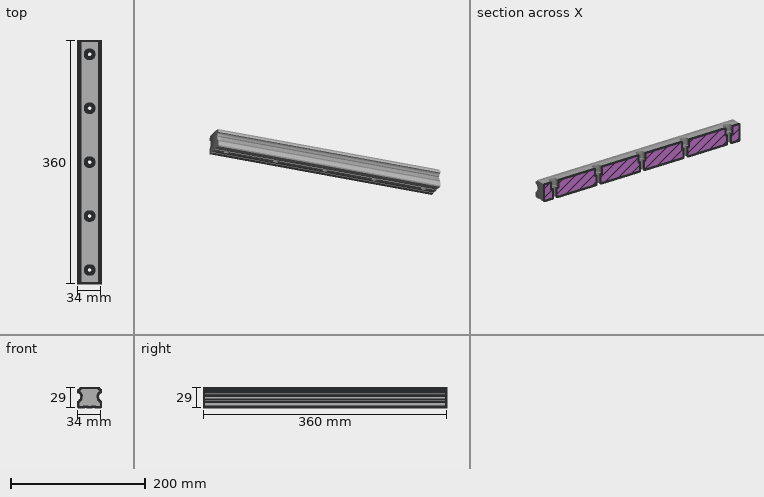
import cadquery as cq

LENGTH = 360.0
WIDTH = 34.0
HEIGHT = 29.0
HALF_WIDTH = WIDTH / 2

TOP_HALF_WIDTH = 13.8
TOP_GROOVE_START_Z = 28.3
TOP_GROOVE_END_X = 16.7
TOP_GROOVE_END_Z = 25.9
TOP_GROOVE_RADIUS = 3.2
LIP_TOP_Z = 25.1

LIP_BOTTOM_Z = 22.6
LOWER_GROOVE_END_X = 13.0
LOWER_GROOVE_END_Z = 19.3
LOWER_GROOVE_RADIUS = 4.5

RELIEF_ROOT_X = 11.5
RELIEF_ROOT_Z = 17.5
RELIEF_MOUTH_X = 12.4
RELIEF_MOUTH_Z = 18.3

WAIST_TOP_X = 12.1
WAIST_TOP_Z = 17.2
WAIST_BOTTOM_X = 13.0
WAIST_BOTTOM_Z = 11.9
FOOT_TOP_Z = 7.8
FOOT_CHAMFER_WIDTH = 1.3
FOOT_CHAMFER_HEIGHT = 1.5

BASE_GROOVE_CENTER_X = 5.85
BASE_GROOVE_WIDTH = 5.5
BASE_GROOVE_DEPTH = 0.8

HOLE_COUNT = 5
HOLE_PITCH = 80.0
HOLE_DIAMETER = 9.0
COUNTERBORE_DIAMETER = 14.0
COUNTERBORE_DEPTH = 12.0


def make_half_rail():
    """Extrude the +X half of the rail section, centred along Y."""
    section = (
        cq.Workplane("XZ", origin=(0, LENGTH / 2, 0))
        .moveTo(0, HEIGHT)
        .lineTo(TOP_HALF_WIDTH, HEIGHT)
        .lineTo(TOP_HALF_WIDTH, TOP_GROOVE_START_Z)
        .radiusArc((TOP_GROOVE_END_X, TOP_GROOVE_END_Z), -TOP_GROOVE_RADIUS)
        .lineTo(HALF_WIDTH, LIP_TOP_Z)
        .lineTo(HALF_WIDTH, LIP_BOTTOM_Z)
        .radiusArc((LOWER_GROOVE_END_X, LOWER_GROOVE_END_Z), -LOWER_GROOVE_RADIUS)
        .lineTo(RELIEF_MOUTH_X, RELIEF_MOUTH_Z)
        .lineTo(RELIEF_ROOT_X, RELIEF_ROOT_Z)
        .lineTo(WAIST_TOP_X, WAIST_TOP_Z)
        .lineTo(WAIST_BOTTOM_X, WAIST_BOTTOM_Z)
        .lineTo(HALF_WIDTH, FOOT_TOP_Z)
        .lineTo(HALF_WIDTH, FOOT_CHAMFER_HEIGHT)
        .lineTo(HALF_WIDTH - FOOT_CHAMFER_WIDTH, 0)
        .lineTo(0, 0)
        .close()
    )
    return section.extrude(LENGTH)


def make_rail():
    """Join the half rail with its mirror image."""
    half = make_half_rail()
    return half.union(half.mirror("YZ")).clean()


def cut_base_grooves(body):
    """Cut the two shallow grooves along the underside."""
    for side in (-1, 1):
        groove = cq.Workplane("XY").box(
            BASE_GROOVE_WIDTH, LENGTH, BASE_GROOVE_DEPTH, centered=(True, True, False)
        )
        body = body.cut(groove.translate((side * BASE_GROOVE_CENTER_X, 0, 0)))
    return body


def cut_mounting_holes(body):
    """Cut the row of counterbored through holes from the top face."""
    return (
        body.faces(">Z")
        .workplane(origin=(0, 0, HEIGHT))
        .rarray(1, HOLE_PITCH, 1, HOLE_COUNT)
        .cboreHole(HOLE_DIAMETER, COUNTERBORE_DIAMETER, COUNTERBORE_DEPTH)
    )


rail = make_rail()
rail = cut_base_grooves(rail)
result = cut_mounting_holes(rail)